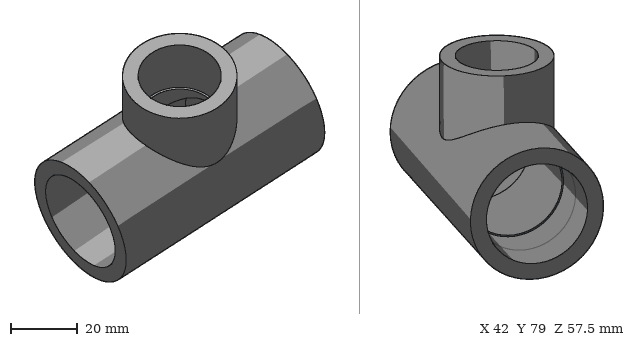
import cadquery as cq

run_length = 79.0
run_diameter = 42.0
run_socket_diameter = 31.9
run_inner_diameter = 31.0
run_socket_depth = 23.7

overall_height = 57.5
branch_diameter = 34.45
branch_socket_diameter = 25.0
branch_inner_diameter = 23.55
branch_socket_depth = 18.95

branch_top = overall_height - run_diameter / 2


def run_cylinder(diameter, length):
    """Cylinder along Y, centred on the origin."""
    return cq.Workplane("XZ").circle(diameter / 2).extrude(length / 2, both=True)


def branch_cylinder(diameter, bottom):
    """Cylinder along Z, from the given height up to the branch mouth."""
    return cq.Workplane("XY").workplane(offset=bottom).circle(diameter / 2).extrude(branch_top - bottom)


body = run_cylinder(run_diameter, run_length).union(branch_cylinder(branch_diameter, 0))

body = body.cut(run_cylinder(run_inner_diameter, run_length))
body = body.cut(branch_cylinder(branch_inner_diameter, 0))

run_socket = run_cylinder(run_socket_diameter, run_socket_depth)
socket_center = (run_length - run_socket_depth) / 2
for side in (1, -1):
    body = body.cut(run_socket.translate((0, side * socket_center, 0)))

branch_socket = branch_cylinder(branch_socket_diameter, branch_top - branch_socket_depth)
result = body.cut(branch_socket)